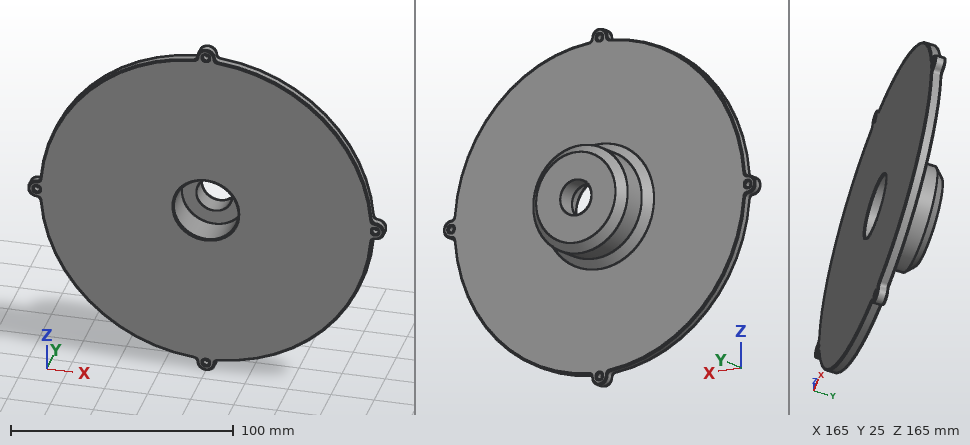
import cadquery as cq

plate_radius = 77.0
plate_thickness = 5.0
edge_chamfer = 0.5

ear_count = 4
ear_radius = 4.0
ear_root_fillet = 2.0
ear_circle_radius = 78.5
screw_hole_radius = 1.5

hub_radius = 25.0
hub_bevel = 4.0
overall_depth = 25.0

seat_radius = 15.0
seat_depth = 15.0
bore_radius = 8.25


def cylinders_at_ears(radius):
    """One plate-thick cylinder at each ear centre."""
    centres = cq.Workplane("XZ").polarArray(ear_circle_radius, 0, 360, ear_count)
    return centres.circle(radius).extrude(-plate_thickness)


def revolve_about_y(profile):
    """Solid of revolution from a closed list of (radius, Y) points."""
    return cq.Workplane("XY").polyline(profile).close().revolve(360, (0, 0, 0), (0, 1, 0))


def make_plate():
    """Disc with filleted ears and screw holes, chamfered along every edge of both faces."""
    disc = cq.Workplane("XZ").circle(plate_radius).extrude(-plate_thickness)
    plate = disc.union(cylinders_at_ears(ear_radius))
    plate = plate.edges("|Y").fillet(ear_root_fillet)
    plate = plate.cut(cylinders_at_ears(screw_hole_radius))
    return plate.faces("<Y or >Y").edges().chamfer(edge_chamfer)


def make_hub():
    """Hub revolved about the Y axis, from the plate's back face to the free end."""
    profile = [
        (0, plate_thickness),
        (hub_radius + hub_bevel, plate_thickness),
        (hub_radius, plate_thickness + hub_bevel),
        (hub_radius, overall_depth - hub_bevel),
        (hub_radius - hub_bevel, overall_depth),
        (0, overall_depth),
    ]
    return revolve_about_y(profile)


def make_bore():
    """Stepped bore cutter, flared at the seat's mouth by the edge chamfer."""
    profile = [
        (0, 0),
        (seat_radius + edge_chamfer, 0),
        (seat_radius, edge_chamfer),
        (seat_radius, seat_depth),
        (bore_radius, seat_depth),
        (bore_radius, overall_depth),
        (0, overall_depth),
    ]
    return revolve_about_y(profile)


result = make_plate().union(make_hub()).cut(make_bore())